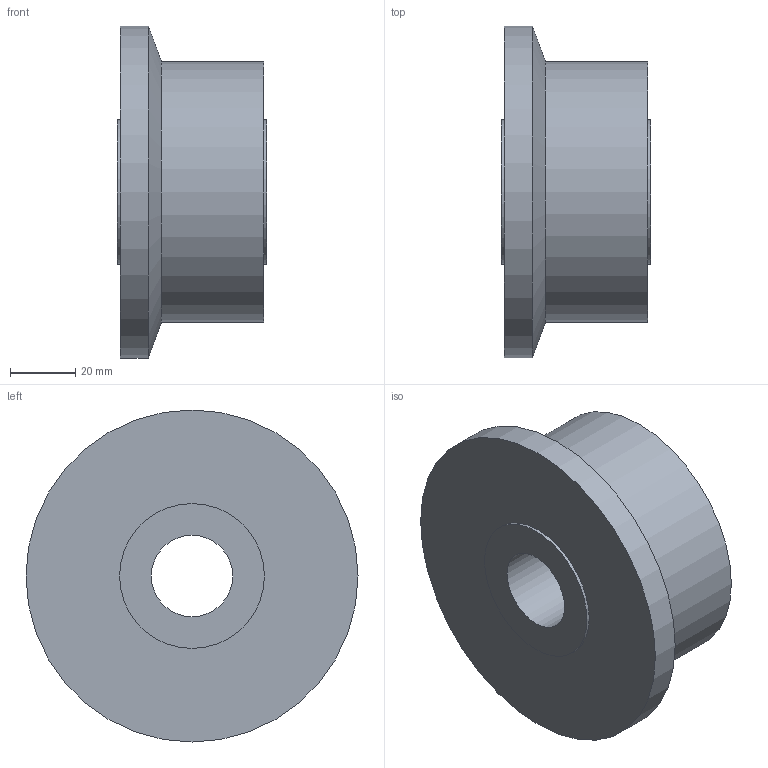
import cadquery as cq
import math

overall_width = 46.0
hub_projection = 1.0
flange_diameter = 102.0
tread_diameter = 80.0
hub_diameter = 44.5
bore_diameter = 25.0
flange_width = 8.6
flange_taper_angle = 20.0

flange_radius = flange_diameter / 2
tread_radius = tread_diameter / 2
hub_radius = hub_diameter / 2
bore_radius = bore_diameter / 2

hub_start = -overall_width / 2
hub_end = overall_width / 2
flange_face = hub_start + hub_projection
tread_end = hub_end - hub_projection
taper_start = flange_face + flange_width
taper_width = (flange_radius - tread_radius) * math.tan(math.radians(flange_taper_angle))
taper_end = taper_start + taper_width


def make_wheel():
    """Revolve the half section: flange, taper, tread, hub faces and through bore."""
    half_section = [
        (hub_start, bore_radius),
        (hub_start, hub_radius),
        (flange_face, hub_radius),
        (flange_face, flange_radius),
        (taper_start, flange_radius),
        (taper_end, tread_radius),
        (tread_end, tread_radius),
        (tread_end, hub_radius),
        (hub_end, hub_radius),
        (hub_end, bore_radius),
    ]
    axle_start = (0, 0, 0)
    axle_end = (1, 0, 0)
    return cq.Workplane("XY").polyline(half_section).close().revolve(360, axle_start, axle_end)


result = make_wheel()